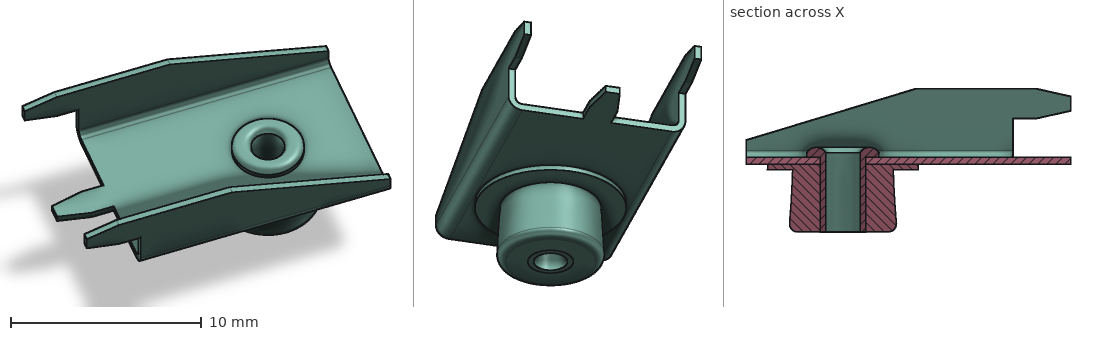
import cadquery as cq

length = 17.02
width = 9.65
total_height = 7.52
wall_height = 3.97

sheet = 0.37
inner_bend = 0.37
outer_bend = inner_bend + sheet
back_y = length / 2
front_y = -length / 2
floor_front_y = back_y - 13.99
taper_y = back_y - 15.23

back_wall_top = 1.28
ramp_end_y = back_y - 8.88
tab_height = 1.57
tab_tip_height = 0.77
tab_bottom = wall_height - tab_height
tab_inset = (tab_height - tab_tip_height) / 2

tongue_width = 1.53
tongue_tip_width = 0.77

fastener_y = back_y - 5.07
flange_radius = 3.97
flange_thickness = 0.29
stud_neck_radius = 2.65
stud_end_radius = 2.85
stud_edge_radius = 0.45
stud_bottom = wall_height - total_height

bore_radius = 0.89
shank_radius = 1.19
head_radius = 1.9
head_rim_height = 0.24
head_height = 0.53


def make_channel():
    """Bent U-shaped sheet, running the full length at full wall height."""
    outer = (
        cq.Workplane("XY")
        .box(width, length, wall_height, centered=(True, True, False))
        .edges("|Y and <Z")
        .fillet(outer_bend)
    )
    inner = (
        cq.Workplane("XY", origin=(0, 0, sheet))
        .box(width - 2 * sheet, length, wall_height, centered=(True, True, False))
        .edges("|Y and <Z")
        .fillet(inner_bend)
    )
    return outer.cut(inner)


def make_side_profile():
    """Side outline of the walls, with a pointed tab at the front."""
    return (
        cq.Workplane("YZ")
        .polyline([
            (back_y, 0),
            (back_y, back_wall_top),
            (ramp_end_y, wall_height),
            (taper_y, wall_height),
            (front_y, wall_height - tab_inset),
            (front_y, tab_bottom + tab_inset),
            (taper_y, tab_bottom),
            (floor_front_y, tab_bottom),
            (floor_front_y, 0),
        ])
        .close()
        .extrude(width / 2, both=True)
    )


def make_tongue():
    """Flat pointed tongue extending the floor forward."""
    return (
        cq.Workplane("XY")
        .polyline([
            (-tongue_width / 2, floor_front_y),
            (-tongue_width / 2, taper_y),
            (-tongue_tip_width / 2, front_y),
            (tongue_tip_width / 2, front_y),
            (tongue_width / 2, taper_y),
            (tongue_width / 2, floor_front_y),
        ])
        .close()
        .extrude(sheet)
    )


def make_bracket():
    """Channel trimmed to its side outline, with tongue and shank hole."""
    shank_hole = cq.Workplane("XY").center(0, fastener_y).circle(shank_radius).extrude(sheet)
    return make_channel().intersect(make_side_profile()).union(make_tongue()).cut(shank_hole)


def revolve_about_fastener(profile):
    """Turn a radius-height profile about the fastener axis."""
    return profile.close().revolve(360, (0, 0, 0), (0, 1, 0)).translate((0, fastener_y, 0))


def make_stud():
    """Flanged stud below the floor, widening downward, with a through hole for the shank."""
    profile = cq.Workplane("XZ").polyline([
        (shank_radius, 0),
        (flange_radius, 0),
        (flange_radius, -flange_thickness),
        (stud_neck_radius, -flange_thickness),
        (stud_end_radius, stud_bottom),
        (shank_radius, stud_bottom),
    ])
    stud = revolve_about_fastener(profile)
    rim = cq.selectors.RadiusNthSelector(-1)
    return stud.faces("<Z").edges(rim).fillet(stud_edge_radius)


def make_eyelet():
    """Hollow shank through the floor and stud, with a domed ring head on top."""
    profile = (
        cq.Workplane("XZ")
        .moveTo(bore_radius, stud_bottom)
        .lineTo(shank_radius, stud_bottom)
        .lineTo(shank_radius, sheet)
        .lineTo(head_radius, sheet)
        .lineTo(head_radius, sheet + head_rim_height)
        .threePointArc(
            ((head_radius + bore_radius) / 2, sheet + head_height),
            (bore_radius, sheet + head_rim_height),
        )
    )
    return revolve_about_fastener(profile)


bracket = make_bracket()
stud = make_stud()
eyelet = make_eyelet()

result = cq.Compound.makeCompound([bracket.solids().val(), stud.solids().val(), eyelet.val()])